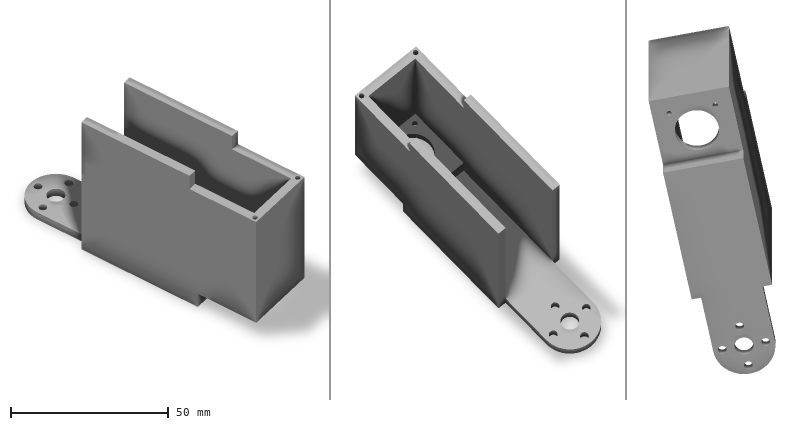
import cadquery as cq

length = 98.0
width = 26.0
height = 54.9

wall = 3.0
inner_width = width - 2 * wall
mid_y = 0.0

body_start = 29.4
step_depth = 5.7
upper_step_x = 71.8
lower_step_x = 75.1
end_top = height - step_depth

tongue_radius = inner_width / 2
tongue_bore = 6.0
tongue_screw = 2.7
tongue_screw_circle = 14.0
tongue_screw_count = 4

shaft_bore = 14.0
shaft_x = 85.0
floor_screw = 1.8
floor_screw_x = 92.4
floor_screw_spacing = 15.0

rim_screw = 1.8
rim_screw_depth = 9.8
rim_screw_inset = wall / 2


def box(x_start, x_end, y_size, z_start, z_end):
    """Box centred on the mid plane of the part."""
    return (
        cq.Workplane("XY", origin=(x_start, mid_y, z_start))
        .rect(x_end - x_start, y_size, centered=(False, True))
        .extrude(z_end - z_start)
    )


def channel():
    """Stepped U-shaped channel, closed at the +X end and raised under that end."""
    outline = [
        (body_start, 0),
        (lower_step_x, 0),
        (lower_step_x, step_depth),
        (length, step_depth),
        (length, end_top),
        (upper_step_x, end_top),
        (upper_step_x, height),
        (body_start, height),
    ]
    body = cq.Workplane("XZ").polyline(outline).close().extrude(width / 2, both=True)
    low_cavity = box(body_start, upper_step_x, inner_width, wall, height)
    raised_cavity = box(upper_step_x, length - wall, inner_width, step_depth + wall, height)
    return body.cut(low_cavity).cut(raised_cavity)


def tongue():
    """Floor plate carried out past the channel, ending in a half circle."""
    plate = box(tongue_radius, body_start, inner_width, 0, wall)
    round_end = cq.Workplane("XY").center(tongue_radius, mid_y).circle(tongue_radius).extrude(wall)
    return plate.union(round_end)


def tongue_holes():
    centre = cq.Workplane("XY").center(tongue_radius, mid_y)
    bore = centre.circle(tongue_bore / 2).extrude(wall)
    screws = (
        centre.polarArray(tongue_screw_circle / 2, 0, 360, tongue_screw_count)
        .circle(tongue_screw / 2)
        .extrude(wall)
    )
    return bore.union(screws)


def floor_holes():
    floor = cq.Workplane("XY", origin=(0, mid_y, step_depth))
    bore = floor.center(shaft_x, 0).circle(shaft_bore / 2).extrude(wall)
    screws = (
        floor.pushPoints([(floor_screw_x, side * floor_screw_spacing / 2) for side in (-1, 1)])
        .circle(floor_screw / 2)
        .extrude(wall)
    )
    return bore.union(screws)


def rim_holes():
    rim_y = width / 2 - rim_screw_inset
    return (
        cq.Workplane("XY", origin=(0, mid_y, end_top))
        .pushPoints([(length - rim_screw_inset, side * rim_y) for side in (-1, 1)])
        .circle(rim_screw / 2)
        .extrude(-rim_screw_depth)
    )


result = channel().union(tongue()).cut(tongue_holes()).cut(floor_holes()).cut(rim_holes())